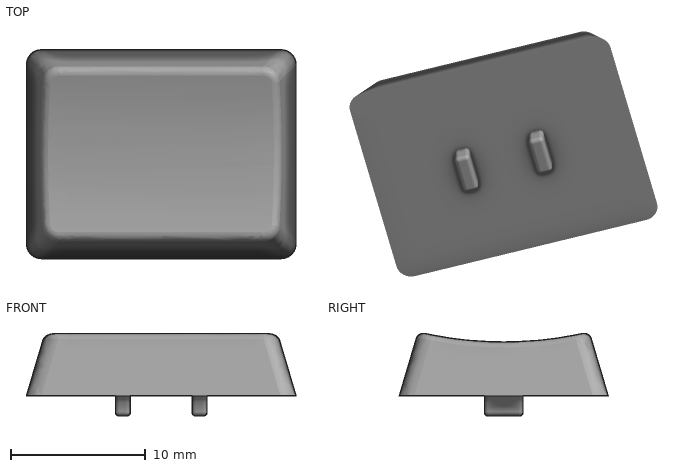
import cadquery as cq
import math

length = 20.0
width = 15.5
blank_height = 6.0
wall_draft = 16.5
corner_radius = 1.2
rim_radius = 0.6

dish_radius = 27.0
dish_floor = 4.0

leg_spacing = 5.68
leg_thickness = 1.12
leg_width = 2.88
leg_length = 1.5
leg_radius = 0.3


def make_blank():
    """Tapered block with the same corner radius all the way up."""
    inset = blank_height * math.tan(math.radians(wall_draft))
    return (
        cq.Workplane("XY")
        .rect(length, width)
        .workplane(offset=blank_height)
        .rect(length - 2 * inset, width - 2 * inset)
        .loft(ruled=True)
        .edges("not(#Z)")
        .fillet(corner_radius)
    )


def make_dish_cutter():
    """Long cylinder whose lowest line touches the dish floor."""
    return (
        cq.Workplane("YZ")
        .center(0, dish_floor + dish_radius)
        .circle(dish_radius)
        .extrude(length, both=True)
    )


def make_leg(center_x):
    """Rounded leg hanging from the underside."""
    return (
        cq.Workplane("XY")
        .center(center_x, 0)
        .rect(leg_thickness, leg_width)
        .extrude(-leg_length)
        .edges("|Z or <Z")
        .fillet(leg_radius)
    )


body = make_blank().cut(make_dish_cutter())
body = body.faces("not(<Z)").edges(cq.selectors.BoxSelector(
    (-length, -width, dish_floor - rim_radius),
    (length, width, blank_height),
)).fillet(rim_radius)

result = body
for side in (-1, 1):
    result = result.union(make_leg(side * leg_spacing / 2))